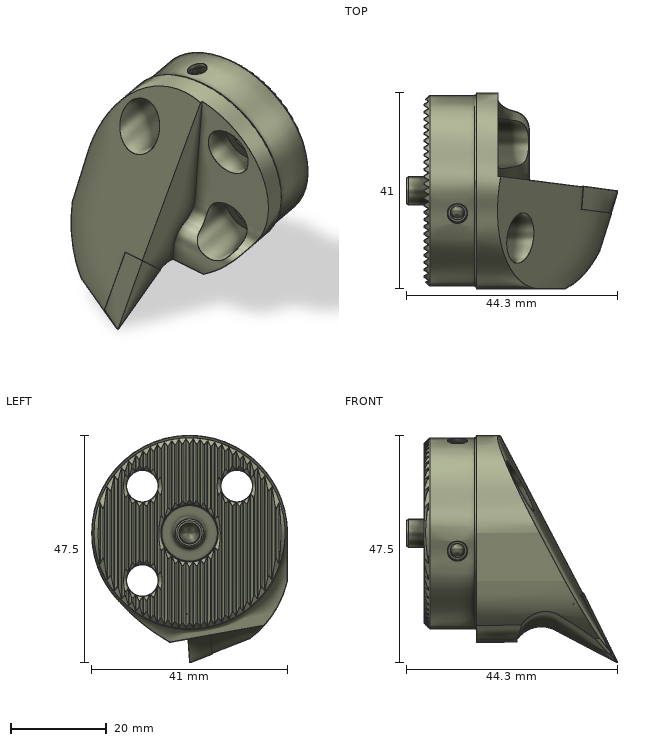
import cadquery as cq
import math


overall_height = 47.5

disc_diameter = 40.0
disc_radius = disc_diameter / 2
flange_diameter = 41.0
flange_radius = flange_diameter / 2
disc_chamfer = 1.2
flange_start = 11.0
flange_fillet = flange_radius - disc_radius

teeth_per_side = 13
outer_tooth_y = 19.48
tooth_pitch = outer_tooth_y / teeth_per_side
crest_width = 0.3
root_width = 0.1
tooth_depth = 0.9

nose_end = 42.75
flat_bottom_z = -10.0
flat_corner = (-12.65, -22.25)
back_arc_middle = (-17.6, -16.65)
nose_tip_z = flange_radius - overall_height
edge_lean = 0.39
edge_setback = 0.2
foot_corner = (4.2, -22.75)
foot_arc_middle = (9.02, -19.55)

end_face_x = 26.45
end_face_fall = 0.53
end_face_skew = 0.11

rake_lean = 0.067

shoulder_x = 15.5
step_arc_run = 3.3
step_arc_drop = 4.5
step_middle_z = -11.88

flute_top_x = 24.65
flute_top_z = -19.55
flute_skew = 0.05
flute_fall = 0.18
flute_start = (-5.05, -2.38)
flute_end = (2.95, -0.8)
flute_tip = (15.85, -7.6)
flute_edge_width = 0.2

insert_width = 4.8
insert_back_bottom = (26.6, -19.9)
insert_back_top = (33.3, -12.6)
insert_face_x = 27.05
insert_side_height = 0.15
insert_face_fall = 0.5

screw_offset = 9.9
screw_places = [(screw_offset, screw_offset), (-screw_offset, screw_offset), (screw_offset, -screw_offset)]
screw_hole_diameter = 6.6
screw_head_diameter = 10.5
screw_seat_x = 9.5

stud_flange_diameter = 12.0
stud_flange_start = 1.3
stud_flange_length = 2.85
stud_flange_chamfer = 0.2
stud_diameter = 6.0
stud_tip_diameter = 5.25
stud_tip_length = 0.48
stud_end_x = -3.7
stud_root_fillet = 0.65
stud_bore_diameter = 4.2
stud_bore_mouth_diameter = 4.4
stud_bore_depth = 4.75
drill_point_angle = 118

plunger_x = 7.0
plunger_angles = (13.9, 100.9)
plunger_diameter = 4.2
plunger_rim_diameter = 4.0
plunger_top = 19.1
plunger_bottom = 13.3
ball_diameter = 3.0
ball_center = 17.3

reach = 95.0


def axial_cylinder(diameter, start, end, place=(0, 0)):
    """Cylinder along X between two X values, centred on a (Y, Z) place."""
    return cq.Workplane("YZ", origin=(start, 0, 0)).center(*place).circle(diameter / 2).extrude(end - start)


def beyond_sloped_plane(plane_x, fall, skew):
    """Solid that fills the +X side of the plane x = plane_x - fall * z + skew * y."""
    plane = cq.Plane(origin=(plane_x, 0, 0), xDir=(skew, 1, 0), normal=(1, -skew, fall))
    return cq.Workplane(plane).rect(2 * reach, 2 * reach).extrude(reach)


def beside_rake_plane(shift):
    """Solid that fills the +Y side of the rake plane moved by shift along Y."""
    low_y = rake_lean * (-reach - nose_tip_z) + shift
    high_y = rake_lean * (reach - nose_tip_z) + shift
    outline = [(low_y, -reach), (reach, -reach), (reach, reach), (high_y, reach)]
    return cq.Workplane("YZ").polyline(outline).close().extrude(reach)


def make_disc():
    """Clamping disc with a chamfered front and a concave fillet against the flange."""
    fillet_start = flange_start - flange_fillet
    bulge = flange_fillet * math.sqrt(0.5)
    return (
        cq.Workplane("XY")
        .moveTo(0, 0)
        .lineTo(0, disc_radius - disc_chamfer)
        .lineTo(disc_chamfer, disc_radius)
        .lineTo(fillet_start, disc_radius)
        .threePointArc((fillet_start + bulge, flange_radius - bulge), (flange_start, flange_radius))
        .lineTo(flange_start, 0)
        .close()
        .revolve(360, (0, 0, 0), (1, 0, 0))
    )


def make_nose_stock(setback):
    """Nose cross-section drawn out along X, with its lower edge set back upwards."""
    arc_middle_angle = math.radians(22.5)
    diagonal = flange_radius * math.sqrt(0.5)
    corner = (flat_corner[0], flat_corner[1] + setback)
    tip_y = corner[0] + (corner[1] - nose_tip_z) / edge_lean
    return (
        cq.Workplane("YZ", origin=(flange_start, 0, 0))
        .moveTo(-flange_radius, 0)
        .threePointArc((0, flange_radius), (flange_radius, 0))
        .threePointArc(
            (flange_radius * math.cos(arc_middle_angle), -flange_radius * math.sin(arc_middle_angle)),
            (diagonal, -diagonal),
        )
        .threePointArc(foot_arc_middle, foot_corner)
        .lineTo(foot_corner[0], nose_tip_z)
        .lineTo(tip_y, nose_tip_z)
        .lineTo(*corner)
        .threePointArc(back_arc_middle, (-flange_radius, flat_bottom_z))
        .close()
        .extrude(nose_end - flange_start)
    )


def flute_outline(plane, foot_run):
    """Foot of the given run, flute arc and clearance face, drawn around the top of the flute."""
    clearance_slope = (flute_tip[1] - flute_end[1]) / (flute_tip[0] - flute_end[0])
    foot_x, foot_z = flute_start
    return (
        cq.Workplane(plane)
        .moveTo(foot_x - foot_run, -reach)
        .lineTo(foot_x - foot_run, foot_z)
        .lineTo(foot_x, foot_z)
        .threePointArc((0, 0), flute_end)
        .lineTo(reach, flute_end[1] + clearance_slope * (reach - flute_end[0]))
        .lineTo(reach, -reach)
        .close()
    )


def make_flute():
    """Solid removed below the nose, running askew under the nose and straight beside the rake face."""
    origin = (flute_top_x, 0, flute_top_z)
    skew_plane = cq.Plane(origin, xDir=(1, flute_skew, 0), normal=(flute_skew, -1, flute_fall))
    skew_part = flute_outline(skew_plane, flute_top_x).extrude(nose_end, both=True)
    straight_plane = cq.Plane(origin, xDir=(1, 0, 0), normal=(0, -1, 0))
    straight_part = flute_outline(straight_plane, flute_edge_width).extrude(-nose_end)
    return skew_part.union(straight_part)


def make_step_cut(shift):
    """Solid removed beside the rake face moved by shift, down to the shoulder and its S-shaped step."""
    step_middle_x = shoulder_x + step_arc_run
    step_end_x = step_middle_x + step_arc_run
    beyond_step = (
        cq.Workplane("XZ", origin=(0, reach, 0))
        .moveTo(shoulder_x, reach)
        .lineTo(shoulder_x, step_middle_z + step_arc_drop)
        .tangentArcPoint((step_middle_x, step_middle_z), relative=False)
        .tangentArcPoint((step_end_x, step_middle_z - step_arc_drop), relative=False)
        .lineTo(step_end_x, -reach)
        .lineTo(reach, -reach)
        .lineTo(reach, reach)
        .close()
        .extrude(2 * reach)
    )
    return beyond_step.intersect(beside_rake_plane(shift))


def make_insert_pocket():
    """Solid that fills the seat of the insert, from its back face to past the tip."""
    (bottom_x, bottom_z), (top_x, top_z) = insert_back_bottom, insert_back_top
    run = (top_x - bottom_x) / (top_z - bottom_z)
    outline = [
        (bottom_x + run * (-reach - bottom_z), -reach),
        (reach, -reach),
        (reach, 0),
        (bottom_x - run * bottom_z, 0),
    ]
    block = cq.Workplane("XZ", origin=(0, reach, 0)).polyline(outline).close().extrude(2 * reach)
    return block.intersect(beside_rake_plane(-insert_width))


def cut_serration(body):
    """Cut the V grooves between the teeth, all running along Z."""
    mouth = (tooth_pitch - crest_width) / 2
    root = root_width / 2
    outline = [(0, -mouth), (tooth_depth, -root), (tooth_depth, root), (0, mouth)]
    groove = cq.Workplane("XY").polyline(outline).close().extrude(disc_radius, both=True)
    for index in range(-teeth_per_side - 1, teeth_per_side + 1):
        body = body.cut(groove.translate((0, (index + 0.5) * tooth_pitch, 0)))
    return body


def countersink(diameter, place):
    """45 degree cone that opens a hole through the depth of the teeth."""
    return (
        cq.Workplane("YZ")
        .center(*place)
        .circle(diameter / 2 + tooth_depth)
        .workplane(offset=tooth_depth)
        .circle(diameter / 2)
        .loft()
    )


def cut_screw_holes(body):
    """Three screw holes, counterbored from the nose side."""
    for place in screw_places:
        body = body.cut(axial_cylinder(screw_hole_diameter, 0, nose_end, place))
        body = body.cut(axial_cylinder(screw_head_diameter, screw_seat_x, nose_end, place))
        body = body.cut(countersink(screw_hole_diameter, place))
    return body


def cut_stud_seat(body):
    """Central recess that takes the flange of the stud."""
    body = body.cut(axial_cylinder(stud_flange_diameter, 0, stud_flange_start + stud_flange_length))
    return body.cut(countersink(stud_flange_diameter, (0, 0)))


def place_in_rim(shape, angle):
    """Turn a shape built along +Z to its place around the rim."""
    return shape.rotate((0, 0, 0), (1, 0, 0), angle).translate((plunger_x, 0, 0))


def make_plunger_hole(angle):
    hole = (
        cq.Workplane("XY", origin=(0, 0, plunger_bottom))
        .circle(plunger_diameter / 2)
        .extrude(flange_radius - plunger_bottom)
    )
    return place_in_rim(hole, angle)


def make_plunger_sleeve(angle):
    """Sleeve with a blind bore that the ball rests in."""
    bore_depth = plunger_top - ball_center + ball_diameter / 2
    sleeve = (
        cq.Workplane("XY", origin=(0, 0, plunger_bottom))
        .circle(plunger_diameter / 2)
        .extrude(plunger_top - plunger_bottom)
        .faces(">Z")
        .chamfer((plunger_diameter - plunger_rim_diameter) / 2)
        .faces(">Z")
        .workplane()
        .hole(ball_diameter, bore_depth)
    )
    return place_in_rim(sleeve, angle)


def make_plunger_ball(angle):
    ball = cq.Workplane("XY", origin=(0, 0, ball_center)).sphere(ball_diameter / 2)
    return place_in_rim(ball, angle)


def make_stud():
    """Flanged stud with a fillet at its root and a drilled blind bore."""
    stud_flange_radius = stud_flange_diameter / 2
    radius = stud_diameter / 2
    back_x = stud_flange_start + stud_flange_length
    bore_radius = stud_bore_diameter / 2
    mouth_depth = (stud_bore_mouth_diameter - stud_bore_diameter) / 2
    bore_end_x = stud_end_x + stud_bore_depth
    point_x = bore_end_x + bore_radius / math.tan(math.radians(drill_point_angle / 2))
    bulge = stud_root_fillet * (1 - math.sqrt(0.5))
    return (
        cq.Workplane("XY")
        .moveTo(point_x, 0)
        .lineTo(bore_end_x, bore_radius)
        .lineTo(stud_end_x + mouth_depth, bore_radius)
        .lineTo(stud_end_x, stud_bore_mouth_diameter / 2)
        .lineTo(stud_end_x, stud_tip_diameter / 2)
        .lineTo(stud_end_x + stud_tip_length, radius)
        .lineTo(stud_flange_start - stud_root_fillet, radius)
        .threePointArc(
            (stud_flange_start - bulge, radius + bulge),
            (stud_flange_start, radius + stud_root_fillet),
        )
        .lineTo(stud_flange_start, stud_flange_radius - stud_flange_chamfer)
        .lineTo(stud_flange_start + stud_flange_chamfer, stud_flange_radius)
        .lineTo(back_x, stud_flange_radius)
        .lineTo(back_x, 0)
        .close()
        .revolve(360, (0, 0, 0), (1, 0, 0))
    )


def shape_nose(setback, rake_shift):
    """Nose with its chip flute, step and rake face, still open at the sloped end."""
    return make_nose_stock(setback).cut(make_flute()).cut(make_step_cut(rake_shift))


def make_housing():
    nose = shape_nose(edge_setback, -insert_side_height)
    nose = nose.cut(beyond_sloped_plane(end_face_x, end_face_fall, end_face_skew))
    nose = nose.cut(make_insert_pocket())
    body = cut_serration(make_disc()).union(nose)
    body = cut_stud_seat(cut_screw_holes(body))
    for angle in plunger_angles:
        body = body.cut(make_plunger_hole(angle))
    return body


def make_insert():
    """Wedge-shaped insert at the tip, standing slightly proud of the faces around it."""
    wedge = shape_nose(0, 0).intersect(make_insert_pocket())
    return wedge.cut(beyond_sloped_plane(insert_face_x, insert_face_fall, end_face_skew))


housing = make_housing()
insert = make_insert()
stud = make_stud()
plunger_sleeves = [make_plunger_sleeve(angle) for angle in plunger_angles]
plunger_balls = [make_plunger_ball(angle) for angle in plunger_angles]

result = cq.Compound.makeCompound(
    [
        housing.val(),
        insert.val(),
        stud.val(),
        *[sleeve.val() for sleeve in plunger_sleeves],
        *[ball.val() for ball in plunger_balls],
    ]
)